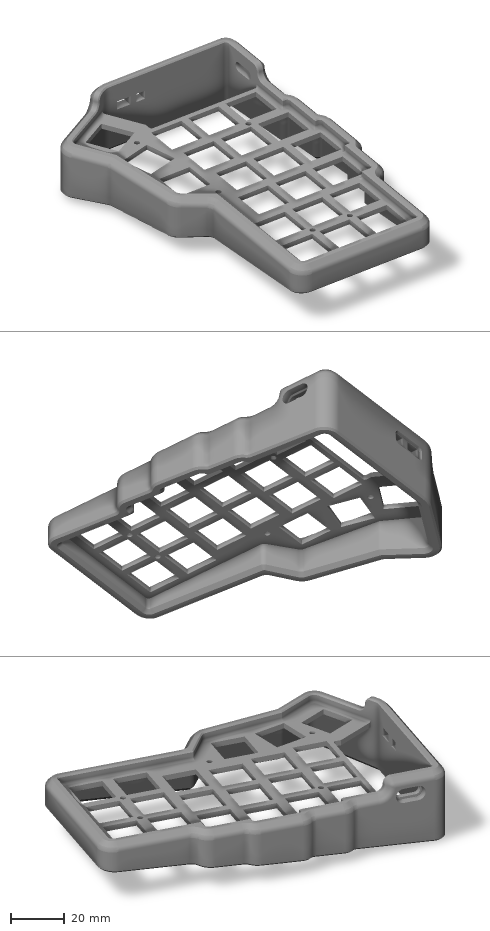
import cadquery as cq
import math

PITCH_X = 18.0
PITCH_Y = 17.0
SWITCH_HOLE = 13.8
ROWS = 3
COLUMN_RISES = [2.375, 4.75, 7.125, 4.75, 0.0, 0.0]
COLUMNS = len(COLUMN_RISES)
GRID_LEFT = 25.55
GRID_FRONT = 31.5
GRID_RIGHT = GRID_LEFT + PITCH_X * COLUMNS
BACK_TRIM = 0.6
GRID_BACK = GRID_FRONT + PITCH_Y * ROWS - BACK_TRIM
BAY_BACK = GRID_BACK + COLUMN_RISES[0]
STEP_TRIM = 1.0
FRONT_STEP_X = 78.9

THUMB_KEYS = [(61.7, 27.4, 0.0), (41.9, 24.6, 15.0), (21.57, 20.9, 30.0)]
OUTER_THUMB_X, OUTER_THUMB_Y, OUTER_THUMB_TURN = THUMB_KEYS[-1]
LONG_KEY_LEFT = 8.2
LONG_KEY_RIGHT = 9.8
LONG_KEY_FRONT = 12.59
LONG_KEY_BACK = 13.4
BAY_KEY_RIGHT = 8.5
INNER_THUMB_CORNER = (70.1, 19.3)

KEY_CLEARANCE = 1.3
WALL = 5.0
OUTER_RADIUS = KEY_CLEARANCE + WALL
OUTER_HOLLOW_RADIUS = 3.0
CAVITY_HOLLOW_RADIUS = 2.6
BEND_RADIUS = 4.0
THUMB_CORNER_RADIUS = 1.2
FIELD_LEFT = OUTER_RADIUS
HIGH_TOP = 30.14
LOW_TOP = 24.1
STEP_RADIUS = (HIGH_TOP - LOW_TOP) / 2
TILT = math.radians(5.0)
RIM_CHAMFER = 2.5
RIM_BLEND = 2.4
INNER_CHAMFER = 0.5
FOOT_CHAMFER = 0.8
INNER_FOOT_CHAMFER = 1.6

PLATE_TOP = 20.4
PLATE_THICKNESS = 2.2
PLATE_FILLET = 1.0
BAY_CORNER_RADIUS = 1.0
SCREW_DIAMETER = 2.3
SCREWS = [
    (GRID_LEFT + PITCH_X, 69.0),
    (GRID_LEFT + 5 * PITCH_X, GRID_FRONT + PITCH_Y),
    (GRID_LEFT + 5 * PITCH_X, GRID_FRONT + 2 * PITCH_Y),
    (74.5, 33.9),
    (30.1, 27.3),
]

RECESS_Y = 41.95
RECESS_Z = 19.45
RECESS_LENGTH = 16.0
RECESS_HEIGHT = 6.0
RECESS_DEPTH = 1.0
RECESS_RADIUS = 2.0
RECESS_TAPER = 20.0
WINDOWS = [(46.4, 3.9), (38.6, 6.0)]
WINDOW_Z = 20.0
WINDOW_HEIGHT = 3.6

PORT_X = (FIELD_LEFT + GRID_LEFT) / 2
PORT_Z = 22.5
PORT_LENGTH = 10.0
PORT_HEIGHT = 4.0
RELIEF_MARGIN = 1.0
RELIEF_DEPTH = 3.0

REACH = 200.0
BELOW = -1.0
ABOVE = HIGH_TOP + 1.0
ON_WALL = 1e-3


def thumb_point(across, along):
    """Point measured from the outermost thumb key, across and along its long side."""
    turn = math.radians(OUTER_THUMB_TURN)
    x = OUTER_THUMB_X + across * math.cos(turn) - along * math.sin(turn)
    y = OUTER_THUMB_Y + across * math.sin(turn) + along * math.cos(turn)
    return (x, y)


def key_field():
    """Outline around all keys and the bay, from which every wall is offset."""
    thumb_corner = thumb_point(-LONG_KEY_LEFT, -LONG_KEY_FRONT)
    bend_rise = (thumb_corner[0] - FIELD_LEFT) / math.tan(math.radians(OUTER_THUMB_TURN))
    bend = (FIELD_LEFT, thumb_corner[1] + bend_rise)
    points = [
        bend,
        thumb_corner,
        thumb_point(LONG_KEY_RIGHT, -LONG_KEY_FRONT),
        INNER_THUMB_CORNER,
        (FRONT_STEP_X, GRID_FRONT),
        (GRID_RIGHT, GRID_FRONT),
    ]
    points.append((GRID_RIGHT, GRID_BACK + COLUMN_RISES[-1]))
    for column in range(COLUMNS - 1, 0, -1):
        rise, next_rise = COLUMN_RISES[column], COLUMN_RISES[column - 1]
        if rise == next_rise:
            continue
        x = GRID_LEFT + column * PITCH_X
        if next_rise > rise:
            x -= STEP_TRIM
        points.append((x, GRID_BACK + rise))
        points.append((x, GRID_BACK + next_rise))
    points.append((FIELD_LEFT, BAY_BACK))

    block = cq.Workplane("XY").polyline(points).close().extrude(1)
    rounded_corners = [
        (bend, BEND_RADIUS),
        (thumb_corner, THUMB_CORNER_RADIUS),
        (INNER_THUMB_CORNER, THUMB_CORNER_RADIUS),
    ]
    for corner, radius in rounded_corners:
        block = block.edges(cq.NearestToPointSelector((*corner, 0.5))).fillet(radius)
    return block.faces("<Z").wires().val()


def grown(wire, distance, hollow_radius=0.0):
    """Wire offset outwards; its hollow corners are rounded by growing too far and returning."""
    larger = wire.offset2D(distance + hollow_radius, "arc")[0]
    if hollow_radius == 0:
        return larger
    return larger.offset2D(-hollow_radius, "arc")[0]


def prism(wire, bottom, top):
    solid = cq.Solid.extrudeLinear(wire, [], cq.Vector(0, 0, top - bottom))
    return cq.Workplane(obj=solid.translate(cq.Vector(0, 0, bottom)))


def wall_edges(part, wire):
    """Edges that run along the upright wall above or below the wire, without the upright ones."""
    found = []
    for edge in part.edges().vals():
        middle = edge.positionAt(0.5)
        distance = wire.distance(cq.Vertex.makeVertex(middle.x, middle.y, 0))
        upright = abs(edge.tangentAt(0.5).z) > 1 - ON_WALL
        if distance < ON_WALL and not upright:
            found.append(edge)
    return found


def edges_from(part, wire, level):
    return [edge for edge in wall_edges(part, wire) if edge.Center().z > level]


def base_edges(part, wire):
    """Edges along the wall that lie in the tilted base."""
    found = []
    for edge in wall_edges(part, wire):
        middle = edge.positionAt(0.5)
        if abs(middle.z - (middle.x - FOOT_CHAMFER) * math.tan(TILT)) < ON_WALL:
            found.append(edge)
    return found


def below_base():
    """Everything under the tilted base, which meets Z = 0 where the left foot chamfer ends."""
    rise = REACH * math.tan(TILT)
    return (
        cq.Workplane("XZ", origin=(FOOT_CHAMFER, REACH, 0))
        .polyline([(-REACH, -rise), (REACH, rise), (REACH, -REACH), (-REACH, -REACH)])
        .close()
        .extrude(2 * REACH)
    )


def step_profile(start, heading, reach_left):
    """Profile of what lies ahead of the start, down to the low top in an S of two arcs."""
    turn = math.radians(heading)
    right = cq.Vector(math.sin(turn), -math.cos(turn), 0)
    origin = cq.Vector(*start, HIGH_TOP) - right * reach_left
    return (
        cq.Workplane(cq.Plane(origin, (math.cos(turn), math.sin(turn), 0), right))
        .lineTo(0, STEP_RADIUS)
        .lineTo(REACH, STEP_RADIUS)
        .lineTo(REACH, -2 * STEP_RADIUS)
        .lineTo(2 * STEP_RADIUS, -2 * STEP_RADIUS)
        .radiusArc((STEP_RADIUS, -STEP_RADIUS), STEP_RADIUS)
        .radiusArc((0, 0), -STEP_RADIUS)
        .close()
    )


def case_blank(outer):
    """Solid case with its raised bay end, tilted base and chamfered outer edges."""
    back_start = (GRID_LEFT - STEP_RADIUS, OUTER_THUMB_Y)
    thumb_start = thumb_point(0, LONG_KEY_BACK)
    blank = prism(outer, BELOW, HIGH_TOP)
    blank = blank.cut(step_profile(back_start, 0, REACH).extrude(REACH))
    blank = blank.cut(step_profile(thumb_start, OUTER_THUMB_TURN - 90, REACH).extrude(2 * REACH))
    blank = blank.cut(below_base())
    blank = blank.newObject(edges_from(blank, outer, LOW_TOP - ON_WALL)).chamfer(RIM_CHAMFER)
    blank = blank.newObject(base_edges(blank, outer)).chamfer(FOOT_CHAMFER)
    chamfer_foot = LOW_TOP - RIM_CHAMFER - ON_WALL
    return blank.newObject(edges_from(blank, outer, chamfer_foot)).fillet(RIM_BLEND)


def key_pocket(inner):
    """Space above the plate, with a fillet where the plate meets the wall."""
    return prism(inner, PLATE_TOP, ABOVE).faces("<Z").edges().fillet(PLATE_FILLET)


def bay(cavity):
    """Opening beside the keys, from the base to the top."""
    far_left = thumb_point(-REACH, LONG_KEY_BACK)
    thumb_end = thumb_point(BAY_KEY_RIGHT, LONG_KEY_BACK)
    plate_corner = (GRID_LEFT, thumb_end[1])
    region = (
        cq.Workplane("XY", origin=(0, 0, BELOW))
        .polyline([far_left, thumb_end, plate_corner, (GRID_LEFT, REACH), (-REACH, REACH)])
        .close()
        .extrude(ABOVE - BELOW)
    )
    opening = region.intersect(prism(cavity, BELOW, ABOVE))
    back_corner = (GRID_LEFT, BAY_BACK + KEY_CLEARANCE)
    for corner in (plate_corner, back_corner):
        nearest = cq.NearestToPointSelector((*corner, (ABOVE + BELOW) / 2))
        opening = opening.edges("|Z").edges(nearest).fillet(BAY_CORNER_RADIUS)
    return opening


def switch_holes():
    places = list(THUMB_KEYS)
    for column, rise in enumerate(COLUMN_RISES):
        for row in range(ROWS):
            x = GRID_LEFT + (column + 0.5) * PITCH_X
            y = GRID_FRONT + (row + 0.5) * PITCH_Y + rise
            places.append((x, y, 0.0))
    holes = cq.Workplane("XY")
    for x, y, turn in places:
        hole = cq.Workplane("XY").box(SWITCH_HOLE, SWITCH_HOLE, REACH)
        holes = holes.add(hole.rotate((0, 0, 0), (0, 0, 1), turn).translate((x, y, 0)))
    return holes.combine()


def screw_holes():
    return cq.Workplane("XY").pushPoints(SCREWS).circle(SCREW_DIAMETER / 2).extrude(REACH)


def left_windows():
    """Tapered recess in the outside of the left wall and two windows through its floor."""
    outline = cq.Sketch().rect(RECESS_LENGTH, RECESS_HEIGHT).vertices().fillet(RECESS_RADIUS)
    tool = (
        cq.Workplane("YZ", origin=(0, RECESS_Y, RECESS_Z))
        .placeSketch(outline)
        .extrude(RECESS_DEPTH, taper=RECESS_TAPER)
    )
    for y, length in WINDOWS:
        window = cq.Workplane("XY").box(4 * WALL, length, WINDOW_HEIGHT)
        tool = tool.union(window.translate((0, y, WINDOW_Z)))
    return tool


def back_port():
    port = cq.Workplane("XZ", origin=(PORT_X, BAY_BACK + OUTER_RADIUS, PORT_Z))
    hole = port.slot2D(PORT_LENGTH, PORT_HEIGHT).extrude(2 * WALL)
    relief = port.slot2D(PORT_LENGTH + 2 * RELIEF_MARGIN, PORT_HEIGHT + 2 * RELIEF_MARGIN)
    return hole.union(relief.extrude(RELIEF_DEPTH))


def build():
    field = key_field()
    outer = grown(field, OUTER_RADIUS, OUTER_HOLLOW_RADIUS)
    inner = grown(field, KEY_CLEARANCE)
    cavity = grown(field, KEY_CLEARANCE, CAVITY_HOLLOW_RADIUS)

    case = case_blank(outer)
    case = case.cut(key_pocket(inner))
    case = case.cut(prism(cavity, BELOW, PLATE_TOP - PLATE_THICKNESS))
    case = case.cut(bay(cavity))
    case = case.newObject(edges_from(case, inner, LOW_TOP - ON_WALL)).chamfer(INNER_CHAMFER)
    case = case.newObject(base_edges(case, cavity)).chamfer(INNER_FOOT_CHAMFER)
    case = case.cut(switch_holes()).cut(screw_holes())
    return case.cut(left_windows()).cut(back_port())


result = build()